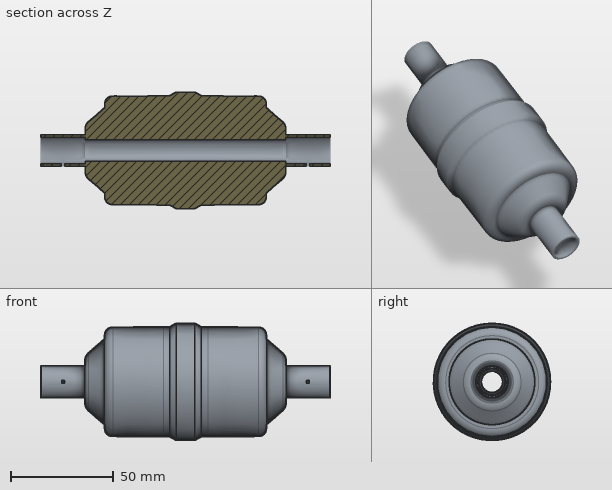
import cadquery as cq
import math

half_length = 71.0
tube_length = 21.7
dome_end = half_length - tube_length
shoulder_face = 39.7
shell_start = 11.0
collar_foot = 7.6
collar_half_width = 4.6

collar_diameter = 57.4
band_diameter = 54.0
shell_end_diameter = 53.6
cone_base_diameter = 42.0
tube_diameter = 15.8
socket_diameter = 12.8
bore_diameter = 10.4

cone_angle = math.radians(41)

shoulder_radius = 4.0
dome_rim_radius = 5.0
tube_edge_chamfer = 0.3

pin_hole_diameter = 1.5
pin_hole_inset = 11.0

shoulder_tangent = shoulder_face - shoulder_radius

cone_base_radius = cone_base_diameter / 2
dome_edge = dome_end - dome_rim_radius * (1 - math.sin(cone_angle))
dome_edge_radius = cone_base_radius - (dome_edge - shoulder_face) * math.tan(cone_angle)
dome_flat_radius = dome_edge_radius - dome_rim_radius * math.cos(cone_angle)


def dome_arc_middle():
    """Middle point of the rim arc, halfway through its turn onto the cone."""
    half_turn = (math.pi / 2 - cone_angle) / 2
    return (
        dome_end - dome_rim_radius * (1 - math.cos(half_turn)),
        dome_flat_radius + dome_rim_radius * math.sin(half_turn),
    )


def collar():
    """The raised ring around the middle, as one solid disc."""
    return (
        cq.Workplane("YZ")
        .circle(collar_diameter / 2)
        .extrude(collar_half_width, both=True)
    )


def end_body():
    """Everything on the +X side of the collar, turned around the X axis, with a solid core."""
    shell_end_radius = shell_end_diameter / 2
    shoulder_flat_radius = shell_end_radius - shoulder_radius
    shoulder_slant = shoulder_radius * math.sqrt(0.5)
    profile = (
        cq.Workplane("XZ")
        .moveTo(collar_half_width, 0)
        .lineTo(collar_half_width, collar_diameter / 2)
        .lineTo(collar_foot, band_diameter / 2)
        .lineTo(shell_start, band_diameter / 2)
        .lineTo(shoulder_tangent, shell_end_radius)
        .threePointArc(
            (shoulder_tangent + shoulder_slant, shoulder_flat_radius + shoulder_slant),
            (shoulder_face, shoulder_flat_radius),
        )
        .lineTo(shoulder_face, cone_base_radius)
        .lineTo(dome_edge, dome_edge_radius)
        .threePointArc(dome_arc_middle(), (dome_end, dome_flat_radius))
        .lineTo(dome_end, tube_diameter / 2)
        .lineTo(half_length - tube_edge_chamfer, tube_diameter / 2)
        .lineTo(half_length, tube_diameter / 2 - tube_edge_chamfer)
        .lineTo(half_length, 0)
        .close()
    )
    return profile.revolve(360, (0, 0, 0), (1, 0, 0))


def through_bore():
    """The narrow passage along the whole length."""
    return cq.Workplane("YZ").circle(bore_diameter / 2).extrude(half_length, both=True)


def tube_socket():
    """The wider socket of the +X tube with its chamfered mouth."""
    socket_radius = socket_diameter / 2
    profile = (
        cq.Workplane("XZ")
        .moveTo(dome_end, 0)
        .lineTo(dome_end, socket_radius)
        .lineTo(half_length - tube_edge_chamfer, socket_radius)
        .lineTo(half_length, socket_radius + tube_edge_chamfer)
        .lineTo(half_length, 0)
        .close()
    )
    return profile.revolve(360, (0, 0, 0), (1, 0, 0))


def pin_hole():
    """A hole through the -Y wall of the +X tube, opening into the socket."""
    return (
        cq.Workplane("XZ")
        .center(half_length - pin_hole_inset, 0)
        .circle(pin_hole_diameter / 2)
        .extrude(tube_diameter)
    )


end = end_body().cut(tube_socket()).cut(pin_hole())
result = collar().union(end).union(end.mirror("YZ")).cut(through_bore())